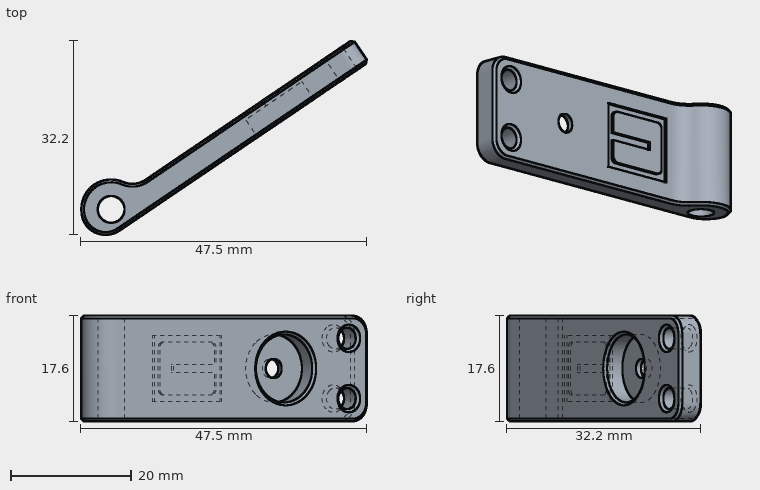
import cadquery as cq
import math

height = 17.6
arm_angle = 34.1
arm_reach = 49.1
arm_thickness = 4.55
front_offset = 3.7
front_face = -front_offset
back_face = front_face + arm_thickness

boss_radius = 5.0
belly_radius = 4.05
neck_radius = 4.0
pivot_diameter = 4.4

end_corner_radius = 3.0
edge_chamfer = 0.47

pocket_along = 32.5
pocket_diameter = 11.3
pocket_depth = 3.5
pocket_chamfer = 0.47
center_hole_diameter = 3.2

screw_along = 45.15
screw_spacing = 10.0
screw_diameter = 3.5
screw_chamfer = 0.5

recess_start = 8.9
recess_length = 13.45
recess_height = 11.0
recess_depth = 0.47
pad_margin = 1.1
pad_corner_radius = 1.0
slot_start = 12.7
slot_height = 1.35


def polar_point(center, radius, angle):
    """Point at a given angle on a circle."""
    return (center[0] + radius * math.cos(angle), center[1] + radius * math.sin(angle))


def make_body():
    """Lever outline, rounded at the free end and chamfered all round."""
    toward_front = 1.5 * math.pi

    belly_across = front_face + belly_radius
    belly_along = -math.sqrt((boss_radius - belly_radius) ** 2 - belly_across**2)
    belly_angle = math.atan2(belly_across, belly_along) % (2 * math.pi)
    belly_start = polar_point((0, 0), boss_radius, belly_angle)
    belly_turn = (belly_angle + toward_front) / 2
    belly_middle = polar_point((belly_along, belly_across), belly_radius, belly_turn)

    neck_across = back_face + neck_radius
    neck_reach = boss_radius + neck_radius
    neck_along = math.sqrt(neck_reach**2 - neck_across**2)
    neck_angle = math.atan2(neck_across, neck_along)
    neck_end = polar_point((0, 0), boss_radius, neck_angle)
    neck_turn = (neck_angle + math.pi + toward_front) / 2
    neck_middle = polar_point((neck_along, neck_across), neck_radius, neck_turn)

    boss_turn = (neck_angle + belly_angle) / 2
    boss_middle = polar_point((0, 0), boss_radius, boss_turn)

    body = (
        cq.Workplane("XY")
        .moveTo(belly_along, front_face)
        .lineTo(arm_reach, front_face)
        .lineTo(arm_reach, back_face)
        .lineTo(neck_along, back_face)
        .threePointArc(neck_middle, neck_end)
        .threePointArc(boss_middle, belly_start)
        .threePointArc(belly_middle, (belly_along, front_face))
        .close()
        .extrude(height / 2, both=True)
    )
    body = body.edges(">X and |Y").fillet(end_corner_radius)
    return body.faces(">Z").edges("not |Y").chamfer(edge_chamfer)


def disc_cutter(along, level, diameter, start, depth):
    """Cylinder running toward the back from the given across position."""
    axis = cq.Vector(0, 1, 0)
    base = cq.Vector(along, start, level)
    return cq.Workplane(cq.Solid.makeCylinder(diameter / 2, depth, base, axis))


def countersink_cutter(along, level, diameter, chamfer, face, inward):
    """Cone that bevels the mouth of a hole; inward is +1 or -1 across the arm."""
    mouth_radius = diameter / 2 + chamfer
    base = cq.Vector(along, face, level)
    axis = cq.Vector(0, inward, 0)
    return cq.Workplane(cq.Solid.makeCone(mouth_radius, diameter / 2, chamfer, base, axis))


def cut_pocket(body):
    """Round pocket in the front face with a small hole through its floor."""
    pocket = disc_cutter(pocket_along, 0, pocket_diameter, front_face, pocket_depth)
    bevel = countersink_cutter(pocket_along, 0, pocket_diameter, pocket_chamfer, front_face, 1)
    hole = disc_cutter(pocket_along, 0, center_hole_diameter, front_face, arm_thickness)
    return body.cut(pocket).cut(bevel).cut(hole)


def cut_screw_holes(body):
    """Two through holes near the free end, bevelled on both faces."""
    for level in (-screw_spacing / 2, screw_spacing / 2):
        body = body.cut(disc_cutter(screw_along, level, screw_diameter, front_face, arm_thickness))
        for face, inward in ((front_face, 1), (back_face, -1)):
            body = body.cut(
                countersink_cutter(screw_along, level, screw_diameter, screw_chamfer, face, inward)
            )
    return body


def back_block(start, length, block_height):
    """Block as deep as the recess, flush with the back face."""
    center = (start + length / 2, back_face - recess_depth / 2, 0)
    return cq.Workplane("XY").box(length, recess_depth, block_height).translate(center)


def cut_recess(body):
    """Shallow rectangular recess in the back face around a flush, slotted pad."""
    recess = back_block(recess_start, recess_length, recess_height)
    pad_length = recess_length - 2 * pad_margin
    pad = back_block(recess_start + pad_margin, pad_length, recess_height - 2 * pad_margin)
    pad = pad.edges("|Y").fillet(pad_corner_radius)
    slot_length = recess_start + recess_length - slot_start
    slot = back_block(slot_start, slot_length, slot_height)
    return body.cut(recess.cut(pad.cut(slot)))


lever = make_body()
lever = lever.cut(cq.Workplane("XY").circle(pivot_diameter / 2).extrude(height, both=True))
lever = cut_pocket(lever)
lever = cut_screw_holes(lever)
lever = cut_recess(lever)
result = lever.rotate((0, 0, 0), (0, 0, 1), arm_angle)